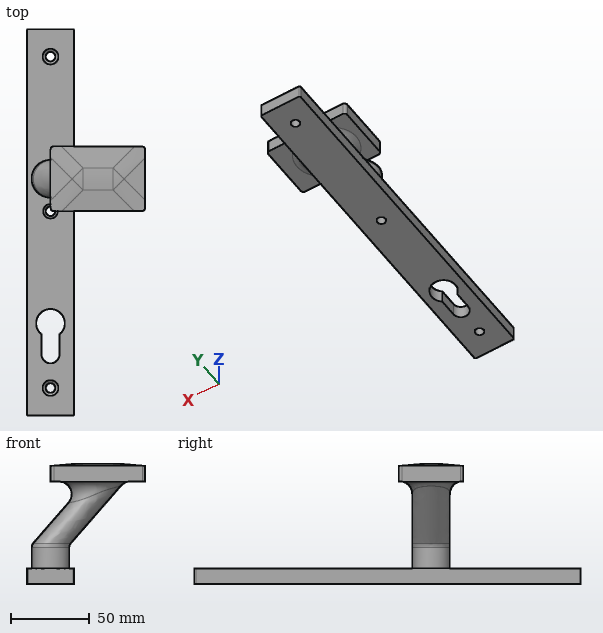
import cadquery as cq
import math

plate_length = 245.0
plate_width = 30.0
plate_thickness = 10.0
plate_corner_radius = 1.0

screw_hole_diameter = 5.9
screw_head_diameter = 10.0
countersink_angle = 90.0
end_screw_y = 105.0
middle_screw_y = 7.0
middle_screw_head_diameter = 9.2

stem_y = 27.6
stem_diameter = 24.0
stem_radius = stem_diameter / 2
elbow_z = 24.8
stem_lean = 35.0
bend_radius = 4.0
bend_steps = 4
flare_fillet = 8.0

keyhole_y = -64.0
keyhole_diameter = 18.0
keyhole_slot_width = 11.3
keyhole_length = 34.3

head_length = 60.0
head_width = 41.0
head_bottom_z = 65.0
head_center_x = 30.0
head_corner_radius = 2.0
roof_slope = math.radians(5.0)
roof_rounding = 80.0
top_z = 76.45
ridge_z = top_z + roof_rounding * (1 / math.cos(roof_slope) - 1)

stem_lean_angle = math.atan2(stem_lean, head_bottom_z - elbow_z)
bend_start_z = elbow_z - bend_radius * math.tan(stem_lean_angle / 2)
bend_end_z = bend_start_z + bend_radius * math.sin(stem_lean_angle)
bend_end_x = bend_radius * (1 - math.cos(stem_lean_angle))


def make_plate():
    plate = (
        cq.Workplane("XY")
        .rect(plate_width, plate_length)
        .extrude(plate_thickness)
        .edges("|Z")
        .fillet(plate_corner_radius)
    )
    screws = (
        (end_screw_y, screw_head_diameter),
        (middle_screw_y, middle_screw_head_diameter),
        (-end_screw_y, screw_head_diameter),
    )
    for screw_y, head_diameter in screws:
        plate = (
            plate.faces(">Z")
            .workplane(origin=(0, screw_y, 0))
            .cskHole(screw_hole_diameter, head_diameter, countersink_angle)
        )
    return plate.cut(make_keyhole())


def upright_cylinder(center_y, diameter):
    return cq.Workplane("XY").center(0, center_y).circle(diameter / 2).extrude(plate_thickness)


def make_keyhole():
    slot_end_y = keyhole_y + keyhole_diameter / 2 - keyhole_length + keyhole_slot_width / 2
    cylinder_bore = upright_cylinder(keyhole_y, keyhole_diameter)
    slot_end = upright_cylinder(slot_end_y, keyhole_slot_width)
    slot = (
        cq.Workplane("XY")
        .center(0, (keyhole_y + slot_end_y) / 2)
        .rect(keyhole_slot_width, keyhole_y - slot_end_y)
        .extrude(plate_thickness)
    )
    return cylinder_bore.union(slot).union(slot_end)


def make_hip_roof():
    """Solid hip roof with equal slopes on all four sides, carried down to the underside of the head."""
    rise = ridge_z - head_bottom_z
    run = rise / math.tan(roof_slope)
    half_ridge = (head_length - head_width) / 2
    side_slopes = (
        cq.Workplane("YZ")
        .polyline([(-run, 0), (run, 0), (0, rise)])
        .close()
        .extrude(half_ridge + run, both=True)
    )
    end_slopes = (
        cq.Workplane("XZ")
        .polyline([(-half_ridge - run, 0), (half_ridge + run, 0), (half_ridge, rise), (-half_ridge, rise)])
        .close()
        .extrude(run, both=True)
    )
    ridge_and_hips = "not(<Z)"
    roof = side_slopes.intersect(end_slopes).edges(ridge_and_hips).fillet(roof_rounding)
    return roof.translate((head_center_x, 0, head_bottom_z))


def make_head():
    block = (
        cq.Workplane("XY", origin=(head_center_x, 0, head_bottom_z))
        .rect(head_length, head_width)
        .extrude(ridge_z - head_bottom_z)
        .edges("|Z")
        .fillet(head_corner_radius)
    )
    return block.intersect(make_hip_roof())


def make_bend():
    """Elbow whose level cross-sections keep the stem circle while its centre follows an arc."""
    sections = cq.Workplane("XY", origin=(0, 0, bend_start_z)).circle(stem_radius)
    for step in range(1, bend_steps + 1):
        angle = stem_lean_angle * step / bend_steps
        previous_angle = stem_lean_angle * (step - 1) / bend_steps
        shift = bend_radius * (math.cos(previous_angle) - math.cos(angle))
        climb = bend_radius * (math.sin(angle) - math.sin(previous_angle))
        sections = sections.workplane(offset=climb).center(shift, 0).circle(stem_radius)
    return sections.loft()


def make_stem():
    foot = (
        cq.Workplane("XY", origin=(0, 0, plate_thickness))
        .circle(stem_radius)
        .extrude(bend_start_z - plate_thickness)
    )
    leaning_part = (
        cq.Workplane("XY", origin=(bend_end_x, 0, bend_end_z))
        .circle(stem_radius)
        .workplane(offset=head_bottom_z - bend_end_z)
        .center(stem_lean - bend_end_x, 0)
        .circle(stem_radius)
        .loft(ruled=True)
    )
    return foot.union(make_bend()).union(leaning_part)


def make_knob():
    knob = make_stem().union(make_head())
    stem_top_edge = cq.selectors.BoxSelector(
        (stem_lean - stem_radius, -stem_radius, head_bottom_z - 1),
        (stem_lean + stem_radius, stem_radius, head_bottom_z + 1),
    )
    knob = knob.edges(stem_top_edge).fillet(flare_fillet)
    return knob.translate((0, stem_y, 0))


plate = make_plate()
knob = make_knob()
result = cq.Compound.makeCompound([plate.solids().val(), knob.solids().val()])